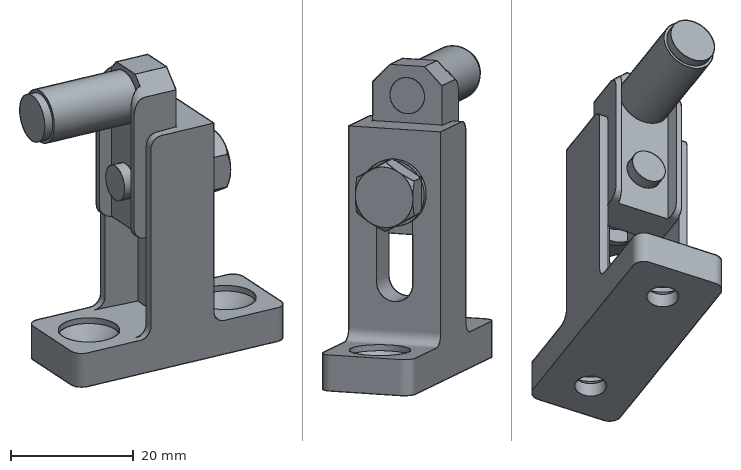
import cadquery as cq
import math

base_width = 16.0
base_length = 40.0
base_height = 6.0
base_corner_radius = 2.0
screw_spacing = 26.0
screw_hole_diameter = 5.2
screw_head_diameter = 10.0
screw_head_rim_depth = 1.0
screw_cone_angle = 90.0

upright_half_depth = 6.0
upright_top = 41.5
upright_fillet = 2.0
channel_floor_width = 12.25
channel_depth = upright_half_depth
channel_mouth_width = 13.0
slot_width = 6.3
slot_low_center = 16.0

slider_width = 12.0
slider_height = 28.0
slider_top = 51.0
slider_bottom = slider_top - slider_height
slider_web_thickness = 6.0
slider_rim_height = 2.0
slider_thickness = slider_web_thickness + slider_rim_height
slider_top_chamfer = 3.0
slider_rim_fillet = 2.0
groove_floor_width = 9.0
groove_mouth_width = 10.0

pin_edge_distance = 5.0
pin_height = slider_top - pin_edge_distance
pin_diameter = 6.0
pin_head_diameter = 8.0
pin_head_thickness = 1.5
roller_diameter = 9.0
roller_length = 16.0
roller_clearance = 0.3
roller_back = -slider_web_thickness - roller_clearance
roller_front = roller_back - roller_length
pin_tip = roller_front - pin_head_thickness

bolt_edge_distance = 8.0
bolt_height = slider_bottom + bolt_edge_distance
bolt_diameter = 6.0
bolt_protrusion = 2.0
bolt_tip = -slider_web_thickness - bolt_protrusion
washer_diameter = 11.0
washer_thickness = 1.0
hex_flats = 10.0
hex_corners = hex_flats / math.cos(math.pi / 6)
hex_height = 4.0
hex_chamfer_angle = 40.0


def cylinder_y(diameter, y_start, y_end, z):
    """Cylinder along Y between two Y positions, centred on X = 0 at height z."""
    return cq.Workplane(
        cq.Solid.makeCylinder(diameter / 2, y_end - y_start, cq.Vector(0, y_start, z), cq.Vector(0, 1, 0))
    )


def make_bracket():
    half_length = base_length / 2
    profile = (
        cq.Workplane("YZ")
        .moveTo(-half_length, 0)
        .lineTo(half_length, 0)
        .lineTo(half_length, base_height)
        .lineTo(upright_half_depth + upright_fillet, base_height)
        .radiusArc((upright_half_depth, base_height + upright_fillet), upright_fillet)
        .lineTo(upright_half_depth, upright_top)
        .lineTo(-upright_half_depth + upright_fillet, upright_top)
        .radiusArc((-upright_half_depth, upright_top - upright_fillet), -upright_fillet)
        .lineTo(-upright_half_depth, base_height + upright_fillet)
        .radiusArc((-upright_half_depth - upright_fillet, base_height), upright_fillet)
        .lineTo(-half_length, base_height)
        .close()
    )
    bracket = profile.extrude(base_width / 2, both=True)
    for end_face in ("<Y", ">Y"):
        bracket = bracket.faces(end_face).edges("|Z").fillet(base_corner_radius)
    return bracket.cut(make_channel()).cut(make_slot()).cut(make_screw_holes())


def make_channel():
    """Drafted channel that opens toward -Y and runs out over the foot fillets."""
    reach = upright_half_depth + upright_fillet
    slope = (channel_mouth_width - channel_floor_width) / (2 * channel_depth)
    floor_x = channel_floor_width / 2
    mouth_x = floor_x + reach * slope
    return (
        cq.Workplane("XY", origin=(0, 0, base_height))
        .polyline([(-floor_x, 0), (floor_x, 0), (mouth_x, -reach), (-mouth_x, -reach)])
        .close()
        .extrude(upright_top - base_height)
    )


def make_slot():
    """Upright slot through the rear wall, with the bolt at the top of its travel."""
    slot_travel = bolt_height - slot_low_center
    return (
        cq.Workplane("XZ", origin=(0, upright_half_depth, (bolt_height + slot_low_center) / 2))
        .slot2D(slot_travel + slot_width, slot_width, 90)
        .extrude(upright_half_depth)
    )


def make_screw_holes():
    """Countersunk holes with a short straight rim above each cone."""
    hole_radius = screw_hole_diameter / 2
    head_radius = screw_head_diameter / 2
    cone_depth = (head_radius - hole_radius) / math.tan(math.radians(screw_cone_angle / 2))
    rim_bottom = base_height - screw_head_rim_depth
    cutter = (
        cq.Workplane("XZ")
        .polyline(
            [
                (0, 0),
                (hole_radius, 0),
                (hole_radius, rim_bottom - cone_depth),
                (head_radius, rim_bottom),
                (head_radius, base_height),
                (0, base_height),
            ]
        )
        .close()
        .revolve(360, (0, 0, 0), (0, 1, 0))
    )
    near_hole = cutter.translate((0, -screw_spacing / 2, 0))
    far_hole = cutter.translate((0, screw_spacing / 2, 0))
    return near_hole.add(far_hole).combine()


def make_slider():
    half_width = slider_width / 2
    shoulder = slider_top - slider_top_chamfer
    outline = [
        (-half_width, slider_bottom),
        (half_width, slider_bottom),
        (half_width, shoulder),
        (half_width - slider_top_chamfer, slider_top),
        (-half_width + slider_top_chamfer, slider_top),
        (-half_width, shoulder),
    ]
    slider = cq.Workplane("XZ").polyline(outline).close().extrude(slider_thickness)
    slider = slider.faces("<Y").edges("not |Z").edges("not >Z").fillet(slider_rim_fillet)
    groove = (
        cq.Workplane("XY", origin=(0, 0, slider_bottom))
        .polyline(
            [
                (-groove_floor_width / 2, -slider_web_thickness),
                (groove_floor_width / 2, -slider_web_thickness),
                (groove_mouth_width / 2, -slider_thickness),
                (-groove_mouth_width / 2, -slider_thickness),
            ]
        )
        .close()
        .extrude(slider_height)
    )
    slider = slider.cut(groove)
    slider = slider.cut(cylinder_y(pin_diameter, -slider_web_thickness, 0, pin_height))
    return slider.cut(cylinder_y(bolt_diameter, -slider_web_thickness, 0, bolt_height))


def make_pin():
    shank = cylinder_y(pin_diameter, roller_front, 0, pin_height)
    return shank.union(cylinder_y(pin_head_diameter, pin_tip, roller_front, pin_height))


def make_roller():
    roller = cylinder_y(roller_diameter, roller_front, roller_back, pin_height)
    return roller.cut(cylinder_y(pin_diameter, roller_front, roller_back, pin_height))


def make_bolt():
    hex_base = upright_half_depth + washer_thickness
    head = (
        cq.Workplane("XZ", origin=(0, hex_base, bolt_height))
        .transformed(rotate=(0, 0, 90))
        .polygon(6, hex_corners)
        .extrude(-hex_height)
    )
    crown_slope = math.tan(math.radians(hex_chamfer_angle))
    end_radius = hex_flats / 2
    crown = (
        cq.Workplane("XY")
        .polyline(
            [
                (0, hex_base),
                (end_radius + hex_height / crown_slope, hex_base),
                (end_radius, hex_base + hex_height),
                (0, hex_base + hex_height),
            ]
        )
        .close()
        .revolve(360, (0, 0, 0), (0, 1, 0))
        .translate((0, 0, bolt_height))
    )
    head = head.intersect(crown)
    washer = cylinder_y(washer_diameter, upright_half_depth, hex_base, bolt_height)
    shank = cylinder_y(bolt_diameter, bolt_tip, hex_base, bolt_height)
    return head.union(washer).union(shank)


bracket = make_bracket()
slider = make_slider()
pin = make_pin()
roller = make_roller()
bolt = make_bolt()
result = cq.Compound.makeCompound([bracket.val(), slider.val(), pin.val(), roller.val(), bolt.val()])